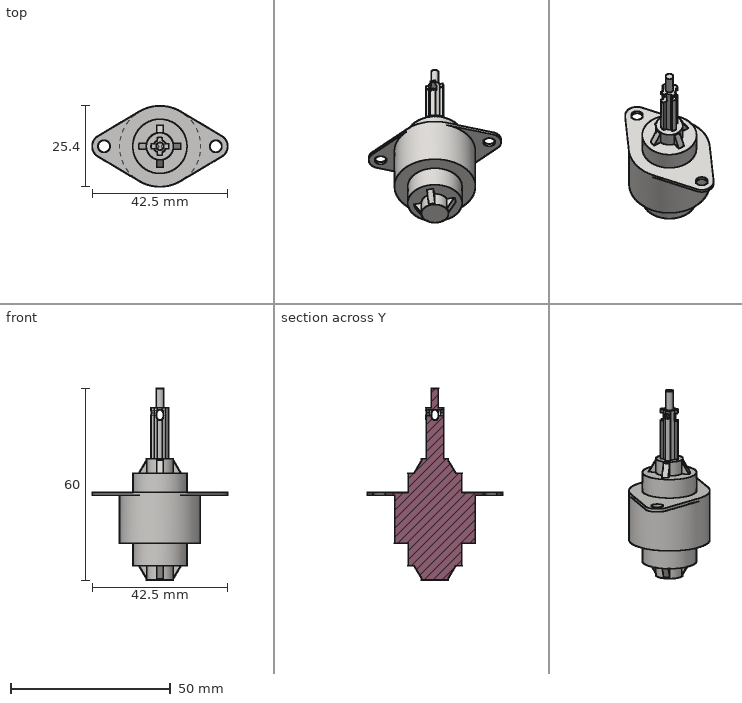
import cadquery as cq
import math

hub_height = 4.5
lower_collar_height = 7.0
body_height = 16.0
upper_collar_height = 6.0
spline_length = 16.0
shaft_length = 6.0

lower_collar_z = hub_height
body_z = lower_collar_z + lower_collar_height
upper_collar_z = body_z + body_height
upper_hub_z = upper_collar_z + upper_collar_height
spline_z = upper_hub_z + hub_height
shaft_z = spline_z + spline_length

body_radius = 12.7
collar_radius = 8.5
hub_radius = 4.25
shaft_radius = 1.2

flange_thickness = 1.0
flange_end_radius = 3.75
flange_hole_offset = 17.5
flange_hole_diameter = 3.7

rib_count = 4
rib_width = 2.0
rib_base_radius = 6.6
rib_height = 4.0

arm_width = 1.6
spline_outer_radius = 2.8
spline_core_radius = 2.0
slot_width = 2.0
slot_length = 3.2
slot_depth = 2.3
slot_center_z = shaft_z - slot_depth
pin_hole_diameter = arm_width
pin_hole_depth = 1.6
pin_hole_center_z = shaft_z - pin_hole_depth


def cylinder(radius, height, base_z):
    return cq.Workplane("XY").workplane(offset=base_z).circle(radius).extrude(height)


def make_flange():
    """Diamond plate: two end arcs and two body arcs joined by tangent lines."""
    tangent_sin = (body_radius - flange_end_radius) / flange_hole_offset
    tangent_cos = math.sqrt(1 - tangent_sin**2)
    body_x = body_radius * tangent_sin
    body_y = body_radius * tangent_cos
    end_x = flange_hole_offset + flange_end_radius * tangent_sin
    end_y = flange_end_radius * tangent_cos
    tip_x = flange_hole_offset + flange_end_radius
    return (
        cq.Workplane("XY")
        .workplane(offset=upper_collar_z - flange_thickness)
        .moveTo(-body_x, body_y)
        .threePointArc((0, body_radius), (body_x, body_y))
        .lineTo(end_x, end_y)
        .threePointArc((tip_x, 0), (end_x, -end_y))
        .lineTo(body_x, -body_y)
        .threePointArc((0, -body_radius), (-body_x, -body_y))
        .lineTo(-end_x, -end_y)
        .threePointArc((-tip_x, 0), (-end_x, end_y))
        .close()
        .pushPoints([(-flange_hole_offset, 0), (flange_hole_offset, 0)])
        .circle(flange_hole_diameter / 2)
        .extrude(flange_thickness)
    )


def make_ribbed_hub():
    """Hub standing on Z = 0, with ribs whose outer faces lie on one cone."""
    cone = (
        cq.Workplane("XZ")
        .polyline([(0, 0), (rib_base_radius, 0), (hub_radius, rib_height), (0, rib_height)])
        .close()
        .revolve(360, (0, 0), (0, 1))
    )
    hub = cylinder(hub_radius, hub_height, 0)
    for index in range(rib_count):
        bar = (
            cq.Workplane("XY")
            .rect(rib_base_radius, rib_width)
            .extrude(rib_height)
            .translate((rib_base_radius / 2, 0, 0))
            .rotate((0, 0, 0), (0, 0, 1), index * 360 / rib_count)
        )
        hub = hub.union(bar.intersect(cone))
    return hub


def make_spline():
    """Round core with four arms, crossed by a slot along Y and a pin hole along X."""
    arm_span = 2 * spline_outer_radius
    base = cq.Workplane("XY").workplane(offset=spline_z)
    x_arms = base.rect(arm_span, arm_width).extrude(spline_length)
    y_arms = base.rect(arm_width, arm_span).extrude(spline_length)
    arms = x_arms.union(y_arms).intersect(cylinder(spline_outer_radius, spline_length, spline_z))
    slot = (
        cq.Workplane("XZ")
        .center(0, slot_center_z)
        .slot2D(slot_length, slot_width, 90)
        .extrude(arm_span, both=True)
    )
    pin_hole = (
        cq.Workplane("YZ")
        .center(0, pin_hole_center_z)
        .circle(pin_hole_diameter / 2)
        .extrude(arm_span, both=True)
    )
    core = cylinder(spline_core_radius, spline_length, spline_z)
    return core.union(arms).cut(slot).cut(pin_hole)


lower_hub = make_ribbed_hub().mirror("XY").translate((0, 0, hub_height))
upper_hub = make_ribbed_hub().translate((0, 0, upper_hub_z))

result = (
    cylinder(body_radius, body_height, body_z)
    .union(make_flange())
    .union(cylinder(collar_radius, lower_collar_height, lower_collar_z))
    .union(cylinder(collar_radius, upper_collar_height, upper_collar_z))
    .union(lower_hub)
    .union(upper_hub)
    .union(make_spline())
    .union(cylinder(shaft_radius, shaft_length, shaft_z))
)